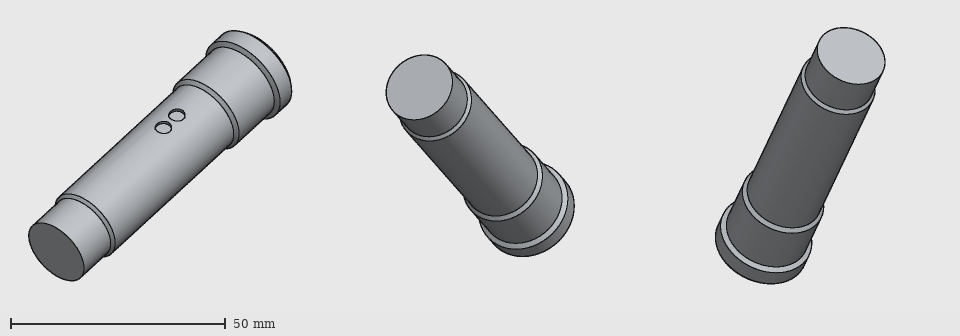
import cadquery as cq

LENGTH = 75.0

HEAD_RADIUS = 11.1
COLLAR_RADIUS = 9.9
BODY_RADIUS = 9.0
TIP_RADIUS = 8.25

HEAD_LENGTH = 6.0
COLLAR_LENGTH = 14.0
TIP_LENGTH = 10.0

HEAD_CHAMFER = 1.0
HEAD_TAPER_LENGTH = 0.7

POCKET_DIAMETER = 3.8
POCKET_DEPTH = 0.8
POCKET_PITCH = 5.0
FIRST_POCKET_FROM_HEAD_END = 30.0
POCKET_COUNT = 2

head_front = LENGTH - HEAD_LENGTH
collar_front = head_front - COLLAR_LENGTH
body_front = TIP_LENGTH


def turned_pin():
    """Revolve the stepped half profile about the Y axis."""
    collar_taper = COLLAR_RADIUS - BODY_RADIUS
    body_taper = BODY_RADIUS - TIP_RADIUS
    profile = [
        (0, 0),
        (TIP_RADIUS, 0),
        (TIP_RADIUS, body_front),
        (BODY_RADIUS, body_front + body_taper),
        (BODY_RADIUS, collar_front),
        (COLLAR_RADIUS, collar_front + collar_taper),
        (COLLAR_RADIUS, head_front),
        (HEAD_RADIUS, head_front + HEAD_TAPER_LENGTH),
        (HEAD_RADIUS, LENGTH - HEAD_CHAMFER),
        (HEAD_RADIUS - HEAD_CHAMFER, LENGTH),
        (0, LENGTH),
    ]
    return cq.Workplane("XY").polyline(profile).close().revolve(360, (0, 0), (0, 1))


def pockets():
    """Flat-bottomed cutters rising from the pocket floor past the top of the body."""
    floor_height = BODY_RADIUS - POCKET_DEPTH
    first_y = LENGTH - FIRST_POCKET_FROM_HEAD_END
    centers = [(0, first_y - i * POCKET_PITCH) for i in range(POCKET_COUNT)]
    return (
        cq.Workplane("XY", origin=(0, 0, floor_height))
        .pushPoints(centers)
        .circle(POCKET_DIAMETER / 2)
        .extrude(2 * POCKET_DEPTH)
    )


result = turned_pin().cut(pockets())